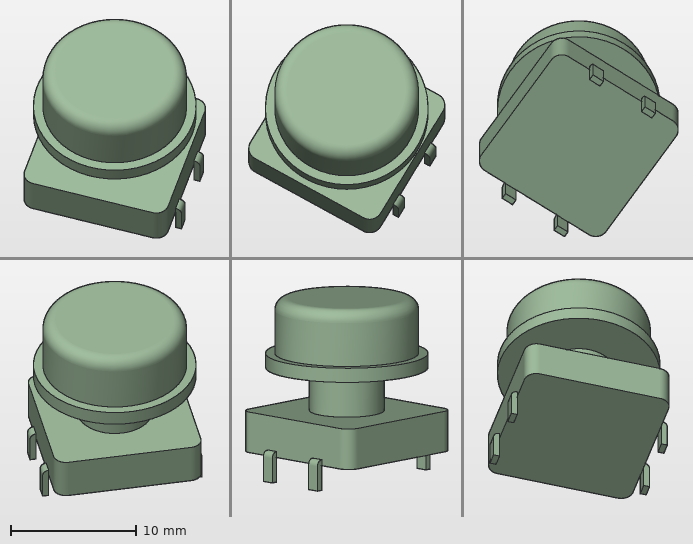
import cadquery as cq

housing_width = 12.0
housing_height = 3.3
housing_corner_radius = 1.0
housing_bottom = 2.0
housing_top = housing_bottom + housing_height

stem_diameter = 6.0
stem_height = 3.5
stem_top = housing_top + stem_height

flange_diameter = 13.0
flange_height = 1.15
cap_diameter = 11.5
cap_height = 4.5
cap_edge_radius = 1.0

pin_thickness = 0.5
pin_width = 1.0
pin_spacing = 5.0
pin_height = housing_bottom + pin_thickness
pin_bend_radius = pin_thickness


def make_housing():
    """Square base with rounded upright corners, carrying the stem in one piece."""
    base = (
        cq.Workplane("XY", origin=(0, 0, housing_bottom))
        .rect(housing_width, housing_width)
        .extrude(housing_height)
        .edges("|Z")
        .fillet(housing_corner_radius)
    )
    return base.faces(">Z").workplane().circle(stem_diameter / 2).extrude(stem_height)


def make_cap():
    """Flanged button with a rounded top edge, resting on the end of the stem."""
    button = (
        cq.Workplane("XY", origin=(0, 0, stem_top))
        .circle(cap_diameter / 2)
        .extrude(flange_height + cap_height)
        .faces(">Z")
        .edges()
        .fillet(cap_edge_radius)
    )
    flange = (
        cq.Workplane("XY", origin=(0, 0, stem_top))
        .circle(flange_diameter / 2)
        .extrude(flange_height)
    )
    return button.union(flange)


def make_pin(side, y_center):
    """Upright pin on the -X (side = -1) or +X (side = 1) face, rounded at its outer top edge."""
    inner_x = side * housing_width / 2
    outer_x = inner_x + side * pin_thickness
    bend_mid = pin_bend_radius * 0.5**0.5
    bend_start = pin_height - pin_bend_radius
    return (
        cq.Workplane("XZ", origin=(0, y_center + pin_width / 2, 0))
        .moveTo(inner_x, 0)
        .lineTo(outer_x, 0)
        .lineTo(outer_x, bend_start)
        .threePointArc((inner_x + side * bend_mid, bend_start + bend_mid), (inner_x, pin_height))
        .close()
        .extrude(pin_width)
    )


housing = make_housing()
cap = make_cap()
pins = [
    make_pin(side, y_center)
    for side in (-1, 1)
    for y_center in (-pin_spacing / 2, pin_spacing / 2)
]

result = cq.Compound.makeCompound([housing.val(), cap.val(), *[pin.val() for pin in pins]])